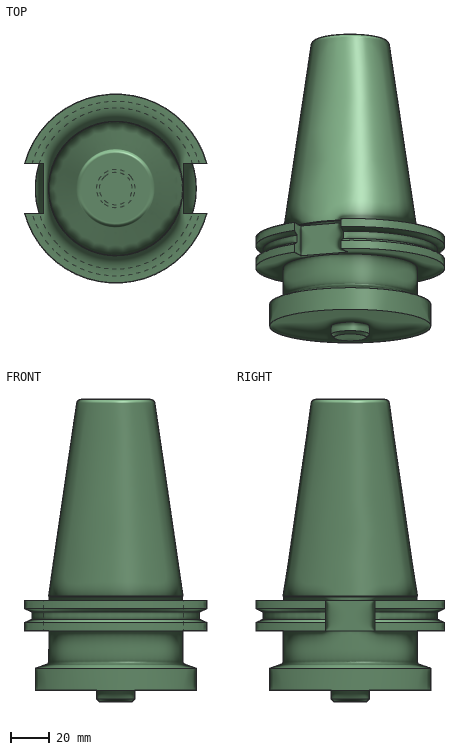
import cadquery as cq


GAUGE_DIAMETER = 69.85
TAPER_LENGTH = 101.6
TAPER_RATIO = 7 / 24
TIP_FILLET = 2.5
TAPER_OVERRUN = 0.9
NECK_DIAMETER = 69.4
NECK_STEP_HEIGHT = 0.4

FLANGE_DIAMETER = 98.43
FLANGE_TOP = -3.175
FLANGE_BOTTOM = -19.05
GROOVE_DIAMETER = 91.0
GROOVE_FLOOR_WIDTH = 3.8
GROOVE_MOUTH_WIDTH = 7.3
GROOVE_CENTER = -11.1

SLOT_WIDTH = 25.92
LEFT_SLOT_DISTANCE = 37.7
RIGHT_SLOT_DISTANCE = 35.3

BODY_DIAMETER = 69.85
BODY_FILLET = 1.5
COLLAR_DIAMETER = 84.0
PIN_DIAMETER = 20.0
PIN_CHAMFER = 1.5
TOTAL_LENGTH = 157.6
PIN_END = TAPER_LENGTH - TOTAL_LENGTH
PIN_LENGTH = 6.0
COLLAR_BOTTOM = PIN_END + PIN_LENGTH
COLLAR_HEIGHT = 11.5
COLLAR_CONE_HEIGHT = 2.45
COLLAR_EDGE = COLLAR_BOTTOM + COLLAR_HEIGHT
BODY_BOTTOM = COLLAR_EDGE + COLLAR_CONE_HEIGHT


def turned(points):
    """Revolve an outline of (diameter, height) pairs, closed along the axis."""
    outline = [(diameter / 2, height) for diameter, height in points]
    outline = [(0, outline[0][1])] + outline + [(0, outline[-1][1])]
    return cq.Workplane("XZ").polyline(outline).close().revolve(360, (0, 0), (0, 1))


def make_taper():
    tip_diameter = GAUGE_DIAMETER - TAPER_LENGTH * TAPER_RATIO
    end_diameter = GAUGE_DIAMETER + TAPER_OVERRUN * TAPER_RATIO
    taper = turned([
        (tip_diameter, TAPER_LENGTH),
        (end_diameter, -TAPER_OVERRUN),
        (NECK_DIAMETER, -TAPER_OVERRUN - NECK_STEP_HEIGHT),
        (NECK_DIAMETER, FLANGE_TOP),
    ])
    return taper.faces(">Z").edges().fillet(TIP_FILLET)


def make_flange():
    flange = turned([
        (FLANGE_DIAMETER, FLANGE_TOP),
        (FLANGE_DIAMETER, GROOVE_CENTER + GROOVE_MOUTH_WIDTH / 2),
        (GROOVE_DIAMETER, GROOVE_CENTER + GROOVE_FLOOR_WIDTH / 2),
        (GROOVE_DIAMETER, GROOVE_CENTER - GROOVE_FLOOR_WIDTH / 2),
        (FLANGE_DIAMETER, GROOVE_CENTER - GROOVE_MOUTH_WIDTH / 2),
        (FLANGE_DIAMETER, FLANGE_BOTTOM),
    ])
    for side, distance in ((-1, LEFT_SLOT_DISTANCE), (1, RIGHT_SLOT_DISTANCE)):
        flange = flange.cut(make_slot(side, distance))
    return flange


def make_slot(side, distance):
    length = FLANGE_DIAMETER / 2 - distance
    return (
        cq.Workplane("XY", origin=(side * (distance + length / 2), 0, FLANGE_TOP))
        .rect(length, SLOT_WIDTH)
        .extrude(FLANGE_BOTTOM - FLANGE_TOP)
    )


def make_body():
    body = turned([
        (BODY_DIAMETER, FLANGE_BOTTOM),
        (BODY_DIAMETER, BODY_BOTTOM),
        (COLLAR_DIAMETER, COLLAR_EDGE),
        (COLLAR_DIAMETER, COLLAR_BOTTOM),
    ])
    corner = cq.selectors.NearestToPointSelector((0, 0, BODY_BOTTOM))
    return body.edges("%CIRCLE").edges(corner).fillet(BODY_FILLET)


def make_pin():
    pin = cq.Workplane("XY", origin=(0, 0, PIN_END)).circle(PIN_DIAMETER / 2).extrude(PIN_LENGTH)
    return pin.faces("<Z").edges().chamfer(PIN_CHAMFER)


result = make_taper().union(make_flange()).union(make_body()).union(make_pin())